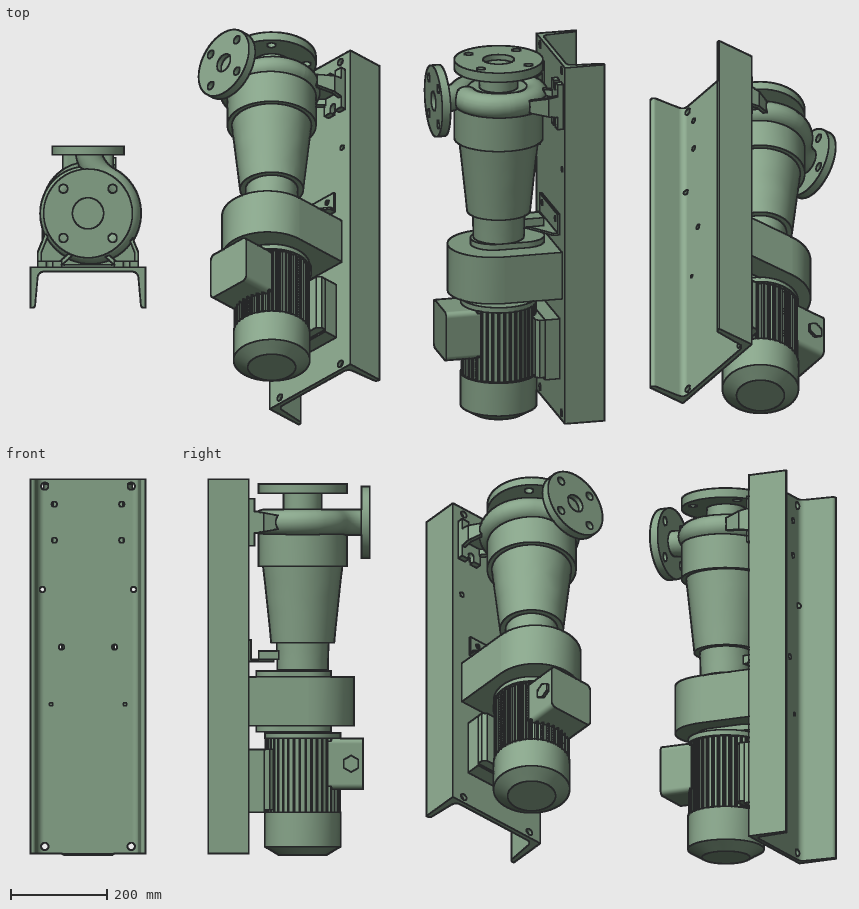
import cadquery as cq
import math


channel_length = 780
channel_width = 240
channel_depth = 85
web_thickness = 9.5
flange_root = 16.4
flange_tip = 9.6
root_fillet = 13
toe_fillet = 6.5
shaft_height = 112
web_face_y = -shaft_height

anchor_hole_dia = 15
anchor_hole_x = 90
anchor_hole_inset = 15
foot_screw_dia = 11
foot_screw_x = 70
foot_screw_pitch = 75
spare_hole_dia = 11
spare_hole_x = 95
spare_hole_z = 550
bracket_screw_dia = 11
bracket_screw_x = 55
bracket_screw_z = 430
guard_screw_dia = 7
guard_screw_x = 77
guard_screw_z = 311

suction_face_z = 770
suction_reach = 80
volute_z = suction_face_z - suction_reach
suction_flange_dia = 185
suction_flange_thickness = 20
suction_bolt_circle = 145
suction_bore_dia = 65
suction_neck_dia = 80
discharge_face_y = 140
discharge_flange_dia = 150
discharge_flange_thickness = 18
discharge_bolt_circle = 110
discharge_bore_dia = 40
flange_bolt_dia = 18
bore_depth = 12
volute_tube_radius = 27
volute_major_radius = 78.5
volute_center_x = 5.5
volute_exit_angle = 62
tongue_major_radius = 71
casing_dia = 185
casing_bottom_z = 598
front_disc_radius = 75
front_disc_height = 20

foot_span = 210
foot_width = 50
foot_length = 98
foot_thickness = 12
foot_slot_x = 80
foot_slot_width = 14
leg_web_thickness = 16
leg_wall = 8
leg_corner_y = -81
leg_top_x = 90
leg_top_y = -44
leg_top_half_height = 13
leg_bottom_half_height = 23
leg_inner_top_x = 33
leg_inner_top_y = -88

frame_top_radius = 83
frame_bottom_radius = 66
frame_cone_bottom_z = 439
neck_top_radius = 54.5
neck_bottom_radius = 53
neck_bottom_z = 382.5
lug_half_width = 20
lug_bottom_y = -92
lug_top_z = 422
lug_bottom_z = 404.5

bracket_thickness = 4.5
bracket_half_width = 75
bracket_shoulder_y = -98
bracket_tip_y = -60
bracket_flange_top_z = 445

guard_top_z = 368
guard_bottom_z = 266
guard_radius = 95
guard_arc_y = 12
collar_radius = 47
collar_arc_gap = 62
collar_height = 12.5

motor_top_z = 251.5
motor_flange_bottom_z = 240
motor_flange_radius = 79
motor_core_radius = 72
fin_radius = 78
fin_thickness = 2.5
fin_pitch_angle = 9
fins_per_side = 10
fan_cover_top_z = 86
fan_cover_radius = 79.5
fan_cover_cone_z = 14.5
fan_cover_bottom_z = -3
fan_cover_end_radius = 50

motor_foot_y = -80
motor_foot_half_width = 78
motor_foot_thickness = 11
motor_foot_saddle_half_width = 70
motor_foot_saddle_y = -61
motor_foot_top_z = 217
motor_foot_bottom_z = 91

box_size = 106
box_face_y = 126
box_corner_radius = 11
gland_across_flats = 30
gland_thickness = 5
gland_y = 101


def block(x0, x1, y0, y1, z0, z1):
    """Rectangular block between two corners."""
    return cq.Workplane("XY").box(x1 - x0, y1 - y0, z1 - z0, centered=False).translate((x0, y0, z0))


def prism(points, z0, z1):
    """Closed polygon in XY, extruded from z0 to z1."""
    return cq.Workplane("XY").workplane(offset=z0).polyline(points).close().extrude(z1 - z0)


def disc(radius, z0, z1):
    """Cylinder on the shaft axis."""
    return cq.Workplane("XY").workplane(offset=z0).circle(radius).extrude(z1 - z0)


def mirrored(points):
    """Outline given on the +X side, closed by its mirror image."""
    return points + [(-x, y) for x, y in reversed(points)]


def holes_along_y(points, diameter, y0, y1):
    """Cylinders parallel to Y, from y0 up to y1, centred on (x, z) points."""
    plane = cq.Workplane("XZ", origin=(0, y1, 0))
    return plane.pushPoints(points).circle(diameter / 2).extrude(y1 - y0)


def four_points(x, center_z, pitch):
    """Corners (x, z) of a rectangular hole pattern."""
    return [(side * x, center_z + end * pitch / 2) for side in (-1, 1) for end in (-1, 1)]


def pair(x, z):
    """Two points (x, z), one on each side of the shaft."""
    return [(-x, z), (x, z)]


def make_channel():
    half = channel_width / 2
    tip_y = web_face_y - channel_depth
    inner_y = web_face_y - web_thickness
    outline = mirrored([
        (half, web_face_y),
        (half, tip_y),
        (half - flange_tip, tip_y),
        (half - flange_root, inner_y),
    ])
    channel = prism(outline, 0, channel_length)
    for side in (-1, 1):
        root = cq.selectors.NearestToPointSelector((side * (half - flange_root), inner_y, channel_length / 2))
        channel = channel.edges("|Z").edges(root).fillet(root_fillet)
        toe = cq.selectors.NearestToPointSelector((side * (half - flange_tip), tip_y, channel_length / 2))
        channel = channel.edges("|Z").edges(toe).fillet(toe_fillet)

    anchor_pitch = channel_length - 2 * anchor_hole_inset
    hole_sets = [
        (four_points(anchor_hole_x, channel_length / 2, anchor_pitch), anchor_hole_dia),
        (four_points(foot_screw_x, volute_z, foot_screw_pitch), foot_screw_dia),
        (pair(spare_hole_x, spare_hole_z), spare_hole_dia),
        (pair(bracket_screw_x, bracket_screw_z), bracket_screw_dia),
        (pair(guard_screw_x, guard_screw_z), guard_screw_dia),
    ]
    for points, diameter in hole_sets:
        channel = channel.cut(holes_along_y(points, diameter, tip_y, web_face_y))
    return channel


def torus_arc(center_x, major_radius, start_angle, sweep_angle):
    """Tube bent about a vertical axis through (center_x, 0) at the height of the volute."""
    start = math.radians(start_angle)
    plane = cq.Plane(
        origin=(center_x, 0, volute_z),
        xDir=(math.cos(start), math.sin(start), 0),
        normal=(math.sin(start), -math.cos(start), 0),
    )
    section = cq.Workplane(plane).center(major_radius, 0).circle(volute_tube_radius)
    return section.revolve(sweep_angle, (-major_radius, 0, 0), (-major_radius, 1, 0))


def make_volute():
    """Spiral tube of three tangent arcs: tongue, main arc and outlet."""
    main_arc = torus_arc(volute_center_x, volute_major_radius, 180, 180 + volute_exit_angle)
    tongue_center_x = volute_center_x - volute_major_radius + tongue_major_radius
    tongue = torus_arc(tongue_center_x, tongue_major_radius, 90, 90)

    angle = math.radians(volute_exit_angle)
    outlet_start_x = volute_center_x + volute_major_radius * math.cos(angle)
    outlet_major_radius = outlet_start_x / (1 - math.cos(angle))
    outlet_center_y = (volute_major_radius + outlet_major_radius) * math.sin(angle)
    outlet = torus_arc(outlet_major_radius, outlet_major_radius, 180, volute_exit_angle)
    outlet = outlet.translate((0, outlet_center_y, 0))
    return main_arc.union(tongue).union(outlet)


def make_pipe_flange(diameter, thickness, bolt_circle):
    """Round flange with four bolt holes at 45 degrees, face up at Z = 0."""
    flange = cq.Workplane("XY").circle(diameter / 2).extrude(-thickness)
    holes = cq.Workplane("XY").polarArray(bolt_circle / 2, 45, 360, 4)
    return flange.cut(holes.circle(flange_bolt_dia / 2).extrude(-thickness))


def make_foot(side):
    """Foot pad with end slots, and an H-section leg up to the casing; side is -1 or +1."""
    outer = foot_span / 2
    inner = outer - foot_width
    pad_top = web_face_y + foot_thickness
    half_length = foot_length / 2
    pad = block(inner, outer, web_face_y, pad_top, volute_z - half_length, volute_z + half_length)
    for end in (-1, 1):
        slot_z = volute_z + end * foot_screw_pitch / 2
        slot = holes_along_y([(foot_slot_x, slot_z)], foot_slot_width, web_face_y, pad_top)
        edge_z = volute_z + end * half_length
        mouth = block(
            foot_slot_x - foot_slot_width / 2, foot_slot_x + foot_slot_width / 2,
            web_face_y, pad_top, min(slot_z, edge_z), max(slot_z, edge_z),
        )
        pad = pad.cut(slot).cut(mouth)

    outer_edge = [(outer, pad_top), (outer, leg_corner_y), (leg_top_x, leg_top_y)]
    inner_edge = [(leg_inner_top_x, leg_inner_top_y), (inner, web_face_y + leg_wall / 2)]
    web_half = leg_web_thickness / 2
    web_outline = outer_edge + inner_edge + [(inner + leg_wall, pad_top)]
    web = prism(web_outline, volute_z - web_half, volute_z + web_half)

    outer_wall = outer_edge + [(x - leg_wall, y) for x, y in reversed(outer_edge)]
    inner_wall = inner_edge + [(x + leg_wall, y + leg_wall / 2) for x, y in reversed(inner_edge)]
    low = volute_z - leg_bottom_half_height
    high = volute_z + leg_bottom_half_height
    walls = prism(outer_wall, low, high).union(prism(inner_wall, low, high))
    taper = (
        cq.Workplane("YZ")
        .polyline([
            (web_face_y, low),
            (pad_top, low),
            (leg_top_y, volute_z - leg_top_half_height),
            (leg_top_y, volute_z + leg_top_half_height),
            (pad_top, high),
            (web_face_y, high),
        ])
        .close()
        .extrude(outer)
    )
    foot = pad.union(web).union(walls.intersect(taper))
    return foot if side > 0 else foot.mirror("YZ")


def make_casing():
    casing = disc(casing_dia / 2, casing_bottom_z, volute_z)
    casing = casing.union(disc(front_disc_radius, volute_z, volute_z + front_disc_height))
    casing = casing.union(make_volute())
    for side in (-1, 1):
        casing = casing.union(make_foot(side))

    casing = casing.union(disc(suction_neck_dia / 2, volute_z, suction_face_z - suction_flange_thickness))
    suction = make_pipe_flange(suction_flange_dia, suction_flange_thickness, suction_bolt_circle)
    casing = casing.union(suction.translate((0, 0, suction_face_z)))
    casing = casing.cut(disc(suction_bore_dia / 2, suction_face_z - bore_depth, suction_face_z))

    discharge = make_pipe_flange(discharge_flange_dia, discharge_flange_thickness, discharge_bolt_circle)
    discharge = discharge.rotate((0, 0, 0), (1, 0, 0), -90)
    casing = casing.union(discharge.translate((0, discharge_face_y, volute_z)))
    bore = holes_along_y([(0, volute_z)], discharge_bore_dia, discharge_face_y - bore_depth, discharge_face_y)
    return casing.cut(bore)


def make_bearing_frame():
    profile = [
        (0, casing_bottom_z),
        (frame_top_radius, casing_bottom_z),
        (frame_bottom_radius, frame_cone_bottom_z),
        (neck_top_radius, frame_cone_bottom_z),
        (neck_bottom_radius, neck_bottom_z),
        (0, neck_bottom_z),
    ]
    frame = cq.Workplane("XZ").polyline(profile).close().revolve(360, (0, 0, 0), (0, 1, 0))
    lug = block(-lug_half_width, lug_half_width, lug_bottom_y, 0, lug_bottom_z, lug_top_z)
    return frame.union(lug)


def make_bracket():
    """Angle bracket: upright plate on the web, with a tapered shelf under the frame lug."""
    shelf = prism(
        mirrored([
            (bracket_half_width, web_face_y),
            (bracket_half_width, bracket_shoulder_y),
            (lug_half_width, bracket_tip_y),
        ]),
        lug_bottom_z - bracket_thickness,
        lug_bottom_z,
    )
    plate_face_y = web_face_y + bracket_thickness
    plate = block(
        -bracket_half_width, bracket_half_width, web_face_y, plate_face_y, lug_bottom_z, bracket_flange_top_z
    )
    screws = pair(bracket_screw_x, bracket_screw_z)
    return shelf.union(plate).cut(holes_along_y(screws, bracket_screw_dia, web_face_y, plate_face_y))


def make_guard():
    """Round-topped coupling guard standing on the web, with an oblong collar at each end."""
    guard = (
        cq.Workplane("XY")
        .workplane(offset=guard_bottom_z)
        .moveTo(-guard_radius, web_face_y)
        .lineTo(guard_radius, web_face_y)
        .lineTo(guard_radius, guard_arc_y)
        .threePointArc((0, guard_arc_y + guard_radius), (-guard_radius, guard_arc_y))
        .close()
        .extrude(guard_top_z - guard_bottom_z)
    )
    collars = (
        cq.Workplane("XY")
        .workplane(offset=guard_bottom_z - collar_height)
        .center(0, guard_arc_y - collar_arc_gap / 2)
        .slot2D(collar_arc_gap + 2 * collar_radius, 2 * collar_radius, 90)
        .extrude(guard_top_z - guard_bottom_z + 2 * collar_height)
    )
    return guard.union(collars)


def make_motor():
    """Finned housing with its end flange and foot.

    The fins run straight out in the X and Y directions, with their tips at equal angles.
    """
    motor = disc(motor_core_radius, fan_cover_top_z, motor_flange_bottom_z)
    fins = cq.Workplane("XY")
    for index in range(fins_per_side):
        angle = math.radians((index - (fins_per_side - 1) / 2) * fin_pitch_angle)
        offset = fin_radius * math.sin(angle)
        fin = block(
            abs(offset), fin_radius, offset - fin_thickness / 2, offset + fin_thickness / 2,
            fan_cover_top_z, motor_flange_bottom_z,
        )
        for turn in range(4):
            fins = fins.add(fin.rotate((0, 0, 0), (0, 0, 1), 90 * turn))
    fins = fins.combine().intersect(disc(fin_radius, fan_cover_top_z, motor_flange_bottom_z))
    motor = motor.union(fins)

    foot_top_y = motor_foot_y + motor_foot_thickness
    foot = prism(
        mirrored([
            (motor_foot_half_width, motor_foot_y),
            (motor_foot_half_width, foot_top_y),
            (motor_foot_saddle_half_width, motor_foot_saddle_y),
        ]),
        motor_foot_bottom_z,
        motor_foot_top_z,
    )
    flange = disc(motor_flange_radius, motor_flange_bottom_z, motor_top_z)
    return motor.union(foot).union(flange)


def make_packing_block():
    half = motor_foot_half_width
    return block(-half, half, web_face_y, motor_foot_y, fan_cover_top_z, motor_foot_top_z)


def make_fan_cover():
    cover = disc(fan_cover_radius, fan_cover_cone_z, fan_cover_top_z)
    cone_height = fan_cover_cone_z - fan_cover_bottom_z
    cone = (
        cq.Workplane("XY")
        .workplane(offset=fan_cover_bottom_z)
        .circle(fan_cover_end_radius)
        .workplane(offset=cone_height)
        .circle(fan_cover_radius)
        .loft()
    )
    return cover.union(cone)


def make_terminal_box():
    """Box saddled over the motor core, directly below the motor flange."""
    half = box_size / 2
    box = block(-half, half, 0, box_face_y, motor_flange_bottom_z - box_size, motor_flange_bottom_z)
    box = box.edges("|Y").fillet(box_corner_radius)
    return box.cut(disc(motor_core_radius, fan_cover_top_z, motor_flange_bottom_z))


def make_cable_gland():
    """Hexagon on the +X side of the terminal box, one corner pointing up."""
    across_corners = gland_across_flats / math.cos(math.radians(30))
    center_z = motor_flange_bottom_z - box_size / 2
    plane = cq.Plane(origin=(box_size / 2, gland_y, center_z), xDir=(0, 0, 1), normal=(1, 0, 0))
    return cq.Workplane(plane).polygon(6, across_corners).extrude(gland_thickness)


channel = make_channel()
casing = make_casing()
bearing_frame = make_bearing_frame()
bracket = make_bracket()
guard = make_guard()
terminal_box = make_terminal_box()
motor = make_motor().cut(terminal_box)
packing_block = make_packing_block()
fan_cover = make_fan_cover()
cable_gland = make_cable_gland()

result = cq.Compound.makeCompound([
    channel.val(),
    casing.val(),
    bearing_frame.val(),
    bracket.val(),
    guard.val(),
    motor.val(),
    packing_block.val(),
    fan_cover.val(),
    terminal_box.val(),
    cable_gland.val(),
])